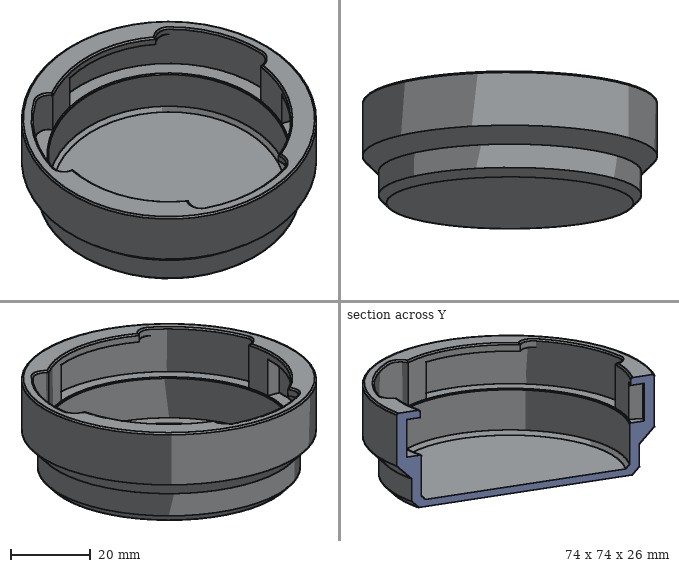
import cadquery as cq
import math

OUTER_RADIUS = 37.0
HEIGHT = 26.0
FOOT_RADIUS = 66.0 / 2
FOOT_CHAMFER = 2.0
SHOULDER_BOTTOM = 8.0
SHOULDER_TOP = SHOULDER_BOTTOM + OUTER_RADIUS - FOOT_RADIUS
RIM_CHAMFER = 0.45
MOUTH_BOTTOM = HEIGHT - RIM_CHAMFER

CUP_RADIUS = 60.5 / 2
FLOOR_HEIGHT = 2.0
FLOOR_CHAMFER = 1.0
LEDGE_HEIGHT = 14.0
LIP_RADIUS = 30.55
LEDGE_CHAMFER = LIP_RADIUS - CUP_RADIUS

SLOT_RADIUS = 34.1
SLOT_HALF_ANGLE = 27.5
SLOT_CORNER_RADIUS = 3.3
SLOT_ANGLES = (91.4, 212.6, 329.2)
GROOVE_TOP = 23.8
GROOVE_END_ANGLE = 75.8


def polar(radius, angle):
    a = math.radians(angle)
    return radius * math.cos(a), radius * math.sin(a)


def wedge(start, end, bottom, top):
    """Wedge from the axis between two angles, reaching out to the slot radius."""
    return (
        cq.Workplane("XY", origin=(0, 0, bottom))
        .lineTo(*polar(SLOT_RADIUS, start))
        .threePointArc(polar(SLOT_RADIUS, (start + end) / 2), polar(SLOT_RADIUS, end))
        .close()
        .extrude(top - bottom)
    )


def outer_body():
    body = cq.Workplane("XY").circle(FOOT_RADIUS).extrude(SHOULDER_TOP)
    body = body.faces("<Z").chamfer(FOOT_CHAMFER)
    shoulder = (
        cq.Workplane("XZ")
        .polyline([
            (0, SHOULDER_BOTTOM),
            (FOOT_RADIUS, SHOULDER_BOTTOM),
            (OUTER_RADIUS, SHOULDER_TOP),
            (OUTER_RADIUS, HEIGHT),
            (0, HEIGHT),
        ])
        .close()
        .revolve(360, (0, 0), (0, 1))
    )
    return body.union(shoulder.faces(">Z").chamfer(RIM_CHAMFER))


def stepped_bore():
    return (
        cq.Workplane("XZ")
        .polyline([
            (0, FLOOR_HEIGHT),
            (CUP_RADIUS - FLOOR_CHAMFER, FLOOR_HEIGHT),
            (CUP_RADIUS, FLOOR_HEIGHT + FLOOR_CHAMFER),
            (CUP_RADIUS, LEDGE_HEIGHT - LEDGE_CHAMFER),
            (LIP_RADIUS, LEDGE_HEIGHT),
            (LIP_RADIUS, MOUTH_BOTTOM),
            (LIP_RADIUS + RIM_CHAMFER, HEIGHT),
            (0, HEIGHT),
        ])
        .close()
        .revolve(360, (0, 0), (0, 1))
    )


def entry_slot(centre):
    """Slot with rounded outer corners and a 45 degree flare at its mouth."""
    start = centre - SLOT_HALF_ANGLE
    end = centre + SLOT_HALF_ANGLE
    slot = wedge(start, end, LEDGE_HEIGHT, MOUTH_BOTTOM)
    for angle in (start, end):
        corner = (*polar(SLOT_RADIUS, angle), (LEDGE_HEIGHT + MOUTH_BOTTOM) / 2)
        slot = slot.edges(cq.selectors.NearestToPointSelector(corner)).fillet(SLOT_CORNER_RADIUS)
    return slot.faces(">Z").wires().toPending().workplane().extrude(RIM_CHAMFER, taper=-45)


def locking_groove(centre):
    return wedge(centre, centre + GROOVE_END_ANGLE, LEDGE_HEIGHT, GROOVE_TOP)


result = outer_body().cut(stepped_bore())
for slot_angle in SLOT_ANGLES:
    result = result.cut(entry_slot(slot_angle)).cut(locking_groove(slot_angle))